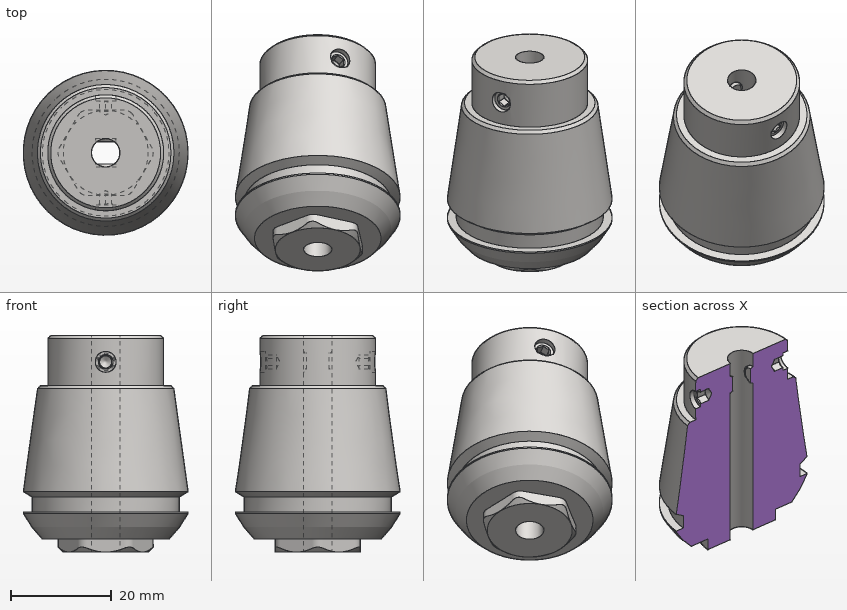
import cadquery as cq
import math

height = 43.0
hex_height = 2.6
lower_bevel_top = 4.9
rim_bottom = 7.7
rim_top = 8.0
groove_top = 10.92
body_bottom = 12.05
shoulder = 33.02

body_radius = 16.36
groove_radius = 29.2 / 2
base_radius = 12.55
body_top_radius = 13.55
neck_radius = 23.0 / 2
bore_radius = 5.6 / 2
edge_chamfer = 0.6

hex_flat_width = 16.9
hex_corner_fillet = 2.05
hex_end_radius = 8.43

screw_height = 37.75
screw_radius = 4.13 / 2
screw_face_y = 10.3
screw_inner_y = 2.2
screw_tip_length = 0.6
screw_tip_inset = 0.35
socket_flat_width = 2.4
socket_mouth_radius = 2.92 / 2
socket_depth = 2.15
socket_cone_depth = 0.7


def make_body():
    """Revolved collar, groove, tapered body and neck."""
    profile = [
        (0, hex_height),
        (base_radius, hex_height),
        (groove_radius, lower_bevel_top),
        (body_radius, rim_bottom),
        (body_radius, rim_top),
        (groove_radius, rim_top),
        (groove_radius, groove_top),
        (body_radius, body_bottom),
        (body_top_radius, shoulder - edge_chamfer),
        (body_top_radius - edge_chamfer, shoulder),
        (neck_radius, shoulder),
        (neck_radius, height - edge_chamfer),
        (neck_radius - edge_chamfer, height),
        (0, height),
    ]
    return cq.Workplane("XZ").polyline(profile).close().revolve(360, (0, 0), (0, 1))


def make_hex_boss():
    """Hexagon with rounded corners and a 45 degree chamfer at its lower end."""
    corner_diameter = hex_flat_width / math.cos(math.pi / 6)
    boss = cq.Workplane("XY").polygon(6, corner_diameter).extrude(hex_height)
    boss = boss.edges("|Z").fillet(hex_corner_fillet)
    chamfer_cone = (
        cq.Workplane("XZ")
        .lineTo(hex_end_radius, 0)
        .lineTo(hex_end_radius + hex_height, hex_height)
        .lineTo(0, hex_height)
        .close()
        .revolve(360, (0, 0), (0, 1))
    )
    return boss.intersect(chamfer_cone)


def make_screw_cylinder(depth_from, depth_to):
    """Cylinder along -Y between two distances from the part axis."""
    plane = cq.Workplane("XZ", origin=(0, -depth_from, screw_height))
    return plane.circle(screw_radius).extrude(depth_to - depth_from)


def make_socket():
    """Hexagonal socket with a countersunk mouth and a conical floor, on the -Y side."""
    corner_radius = socket_flat_width / 2 / math.cos(math.pi / 6)
    floor_y = screw_face_y - socket_depth
    hexagon = (
        cq.Workplane("XZ", origin=(0, -floor_y, screw_height))
        .transformed(rotate=(0, 0, 30))
        .polygon(6, 2 * corner_radius)
        .extrude(socket_depth)
    )
    floor_radius = socket_flat_width / 2
    floor_cone = cq.Solid.makeCone(
        floor_radius, 0, socket_cone_depth, cq.Vector(0, -floor_y, screw_height), cq.Vector(0, 1, 0)
    )
    mouth_depth = socket_mouth_radius - floor_radius
    mouth_center = cq.Vector(0, -screw_face_y, screw_height)
    mouth = cq.Solid.makeCone(
        socket_mouth_radius, floor_radius, mouth_depth, mouth_center, cq.Vector(0, 1, 0)
    )
    return hexagon.union(cq.Workplane(floor_cone)).union(cq.Workplane(mouth))


def make_screw():
    """Socket set screw on the -Y side, with a conical bevel at the end inside the bore."""
    shank_start_y = screw_inner_y + screw_tip_length
    shank = make_screw_cylinder(shank_start_y, screw_face_y)
    tip = cq.Solid.makeCone(
        screw_radius, screw_radius - screw_tip_inset, screw_tip_length,
        cq.Vector(0, -shank_start_y, screw_height), cq.Vector(0, 1, 0),
    )
    return shank.union(cq.Workplane(tip)).cut(make_socket())


result = make_body().union(make_hex_boss())
result = result.cut(cq.Workplane("XY").circle(bore_radius).extrude(height))

screw = make_screw()
clearance = make_screw_cylinder(screw_inner_y, neck_radius)
for angle in (0, 180):
    result = result.cut(clearance.rotate((0, 0, 0), (0, 0, 1), angle))
    result = result.union(screw.rotate((0, 0, 0), (0, 0, 1), angle))